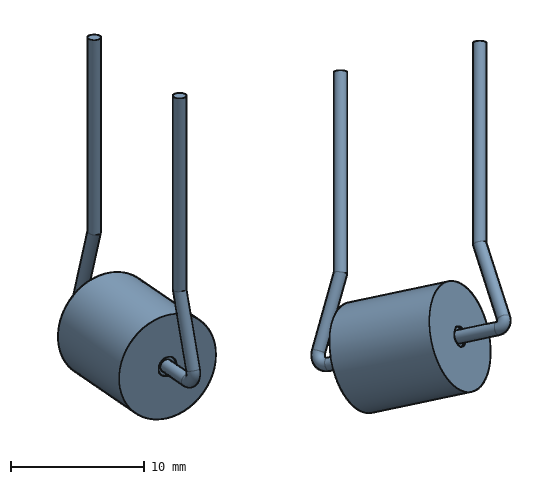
import cadquery as cq
import math

total_height = 27.25
body_diameter = 8.5
body_length = 8.95

wire_diameter = 1.04
lead_spacing = 12.45
kink_height = 11.28
left_reach = 8.9
right_reach = 8.75
left_bend_radius = 0.55
right_bend_radius = 0.9

ring_diameter = 1.58
ring_depth = 0.2

body_radius = body_diameter / 2
wire_radius = wire_diameter / 2
top_z = total_height - body_radius
kink_z = kink_height - body_radius
kink_x = lead_spacing / 2


def make_body():
    """Solid cylinder with a shallow ring groove sunk into both end faces."""
    body = cq.Workplane("YZ", origin=(-body_length / 2, 0, 0)).circle(body_radius).extrude(body_length)
    for start in (-body_length / 2, body_length / 2 - ring_depth):
        ring = (
            cq.Workplane("YZ", origin=(start, 0, 0))
            .circle(ring_diameter / 2)
            .circle(wire_radius)
            .extrude(ring_depth)
        )
        body = body.cut(ring)
    return body


def make_lead(side, reach, bend_radius):
    """Wire running out of the body, round the bend, inward to the kink and straight up.

    side is +1 for the +X lead and -1 for the -X lead.
    """
    bend_x = reach - wire_radius - bend_radius
    bend_z = bend_radius

    run = kink_x - bend_x
    rise = kink_z - bend_z
    tangent_angle = math.atan2(rise, run) - math.acos(bend_radius / math.hypot(run, rise))

    def on_bend(angle):
        return (
            side * (bend_x + bend_radius * math.cos(angle)),
            bend_z + bend_radius * math.sin(angle),
        )

    middle_angle = (tangent_angle - math.pi / 2) / 2
    path = (
        cq.Workplane("XZ")
        .moveTo(0, 0)
        .lineTo(side * bend_x, 0)
        .threePointArc(on_bend(middle_angle), on_bend(tangent_angle))
        .lineTo(side * kink_x, kink_z)
        .lineTo(side * kink_x, top_z)
    )
    return cq.Workplane("YZ").circle(wire_radius).sweep(path, transition="right")


result = (
    make_body()
    .union(make_lead(-1, left_reach, left_bend_radius))
    .union(make_lead(1, right_reach, right_bend_radius))
)